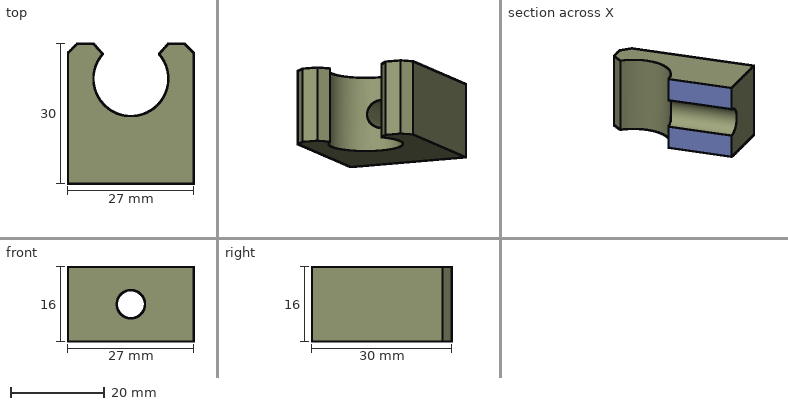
import cadquery as cq
import math

width = 27.0
depth = 30.0
height = 16.0
corner_chamfer = 2.0

seat_diameter = 16.0
seat_center_y = 22.5

throat_width = 12.0
mouth_width = seat_diameter

hole_diameter = 6.0

seat_radius = seat_diameter / 2
throat_y = seat_center_y + math.sqrt(seat_radius**2 - (throat_width / 2) ** 2)


def make_block():
    block = cq.Workplane("XY").box(width, depth, height, centered=(True, False, True))
    return block.edges("|Z and >Y").chamfer(corner_chamfer)


def make_seat():
    return (
        cq.Workplane("XY")
        .center(0, seat_center_y)
        .circle(seat_radius)
        .extrude(height / 2, both=True)
    )


def make_mouth():
    """Flared entry, with its narrow end on the seat circle."""
    outline = [
        (-mouth_width / 2, depth),
        (mouth_width / 2, depth),
        (throat_width / 2, throat_y),
        (-throat_width / 2, throat_y),
    ]
    return cq.Workplane("XY").polyline(outline).close().extrude(height / 2, both=True)


def make_hole():
    """Hole along +Y that ends inside the seat."""
    return cq.Workplane("XZ").circle(hole_diameter / 2).extrude(-seat_center_y)


result = make_block().cut(make_seat()).cut(make_mouth()).cut(make_hole())